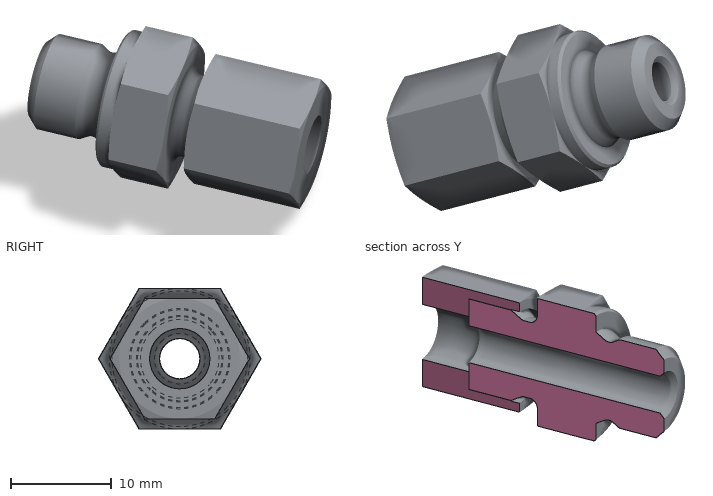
import cadquery as cq
import math

overall_length = 28.5

port_radius = 4.87
port_chamfer = 0.97
port_end = 5.27

groove_flank_length = 0.77
groove_arc_radius = 1.0
flank_angle = math.radians(30)

collar_start = 8.0
collar_width = 1.48
collar_chamfer = 0.25
body_hex_flats = 14.0
body_hex_end = 15.0

neck_radius = 4.2
neck_fillet = 0.85
neck_end = 16.67
stub_radius = 5.0
stub_length = 8.0

bore_radius = 2.0
bore_countersink = 0.5

nut_hex_flats = 12.0
nut_length = 11.49
tube_hole_radius = 3.0

hex_chamfer_angle = math.radians(15)

collar_end = collar_start + collar_width
stub_end = body_hex_end + stub_length
nut_start = overall_length - nut_length


def cylinder(radius, start, end):
    """Cylinder around the X axis between two places on it."""
    return cq.Workplane("YZ", origin=(start, 0, 0)).circle(radius).extrude(end - start)


def revolve_around_x(outline):
    """Revolve a closed half outline, drawn as (X, radius), around the X axis."""
    return outline.close().revolve(360, (0, 0, 0), (1, 0, 0))


def chamfered_hexagon(flats, start, end):
    """Hexagon with flats facing +Z and -Z, its corners turned off at both ends."""
    flat_radius = flats / 2
    corner_radius = flat_radius / math.cos(math.pi / 6)
    corner_setback = (corner_radius - flat_radius) * math.tan(hex_chamfer_angle)
    prism = cq.Workplane("YZ", origin=(start, 0, 0)).polygon(6, 2 * corner_radius).extrude(end - start)
    turned_blank = revolve_around_x(
        cq.Workplane("XY")
        .moveTo(start, 0)
        .lineTo(start, flat_radius)
        .lineTo(start + corner_setback, corner_radius)
        .lineTo(end - corner_setback, corner_radius)
        .lineTo(end, flat_radius)
        .lineTo(end, 0)
    )
    return prism.intersect(turned_blank)


def make_port_end():
    """Threaded end, undercut groove and round collar."""
    slope = math.tan(flank_angle)
    arc_half_width = groove_arc_radius * math.sin(flank_angle)
    arc_depth = groove_arc_radius * (1 - math.cos(flank_angle))
    arc_start = port_end + groove_flank_length
    arc_middle = arc_start + arc_half_width
    arc_end = arc_middle + arc_half_width
    arc_edge_radius = port_radius - groove_flank_length * slope
    flank_top_radius = arc_edge_radius + (collar_start - arc_end) * slope
    collar_radius = body_hex_flats / 2
    return revolve_around_x(
        cq.Workplane("XY")
        .moveTo(0, 0)
        .lineTo(0, port_radius - port_chamfer)
        .lineTo(port_chamfer, port_radius)
        .lineTo(port_end, port_radius)
        .lineTo(arc_start, arc_edge_radius)
        .threePointArc((arc_middle, arc_edge_radius - arc_depth), (arc_end, arc_edge_radius))
        .lineTo(collar_start, flank_top_radius)
        .lineTo(collar_start, collar_radius - collar_chamfer)
        .lineTo(collar_start + collar_chamfer, collar_radius)
        .lineTo(collar_end, collar_radius)
        .lineTo(collar_end, 0)
    )


def make_stub():
    """Filleted neck that widens at 30 degrees to the stub inside the nut."""
    taper_length = (stub_radius - neck_radius) / math.tan(flank_angle)
    return revolve_around_x(
        cq.Workplane("XY")
        .moveTo(body_hex_end, 0)
        .lineTo(body_hex_end, neck_radius + neck_fillet)
        .radiusArc((body_hex_end + neck_fillet, neck_radius), -neck_fillet)
        .lineTo(neck_end, neck_radius)
        .lineTo(neck_end + taper_length, stub_radius)
        .lineTo(stub_end, stub_radius)
        .lineTo(stub_end, 0)
    )


def make_bore():
    """Through bore with a 45 degree countersink at the threaded end."""
    return revolve_around_x(
        cq.Workplane("XY")
        .moveTo(0, 0)
        .lineTo(0, bore_radius + bore_countersink)
        .lineTo(bore_countersink, bore_radius)
        .lineTo(stub_end, bore_radius)
        .lineTo(stub_end, 0)
    )


def make_fitting_body():
    hexagon = chamfered_hexagon(body_hex_flats, collar_end, body_hex_end)
    return make_port_end().union(hexagon).union(make_stub()).cut(make_bore())


def make_union_nut():
    """Nut whose wide bore fits the stub and whose end wall has the tube hole."""
    blank = chamfered_hexagon(nut_hex_flats, nut_start, overall_length)
    stub_bore = cylinder(stub_radius, nut_start, stub_end)
    tube_hole = cylinder(tube_hole_radius, stub_end, overall_length)
    return blank.cut(stub_bore).cut(tube_hole)


fitting_body = make_fitting_body()
union_nut = make_union_nut()

result = cq.Compound.makeCompound([fitting_body.val(), union_nut.val()])